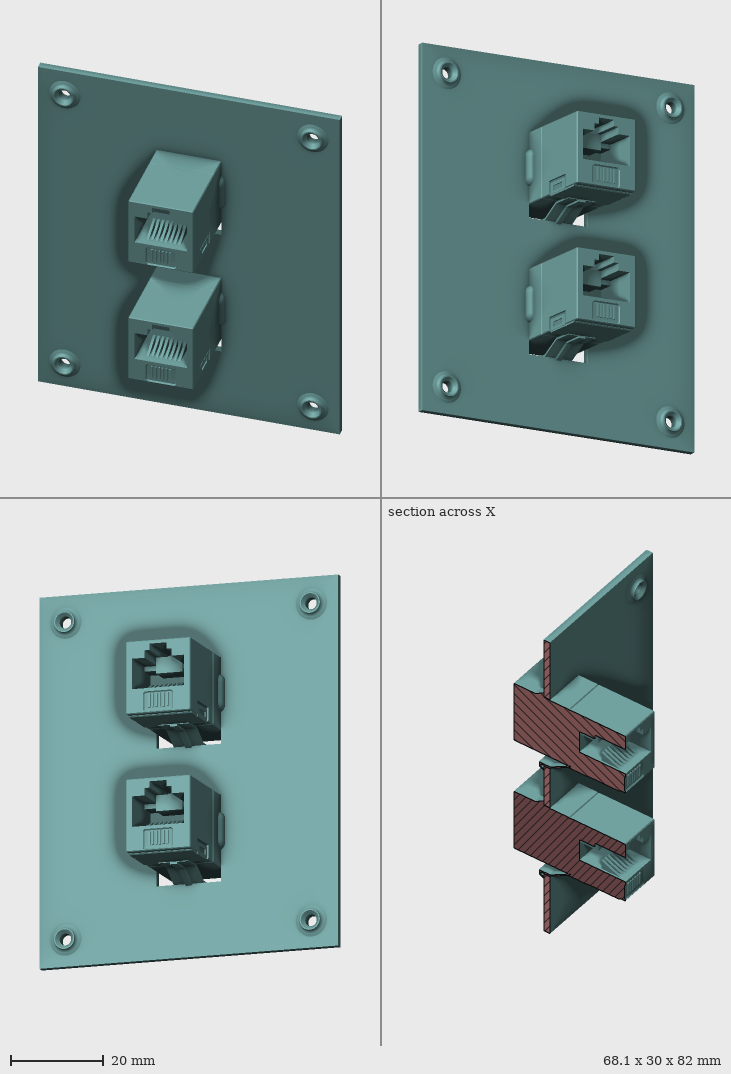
import cadquery as cq

plate_width = 68.1
plate_height = 82.0
plate_thickness = 1.7

window_width = 14.7
window_height = 19.2
window_pitch = 30.4
window_centers = (window_pitch / 2, -window_pitch / 2)

boss_spacing_x = 55.95
boss_spacing_z = 70.1
boss_base_radius = 3.5
boss_rim_radius = 3.0
boss_rim_height = 0.205
boss_neck_radius = 2.3
boss_neck_height = 0.9
boss_flare_sag = 0.1
boss_height = 1.15
countersink_radius = 2.05
countersink_depth = 0.8
screw_hole_radius = 1.3

jack_length = 30.0
jack_front = -20.3
half_length = jack_length / 2
body_width = window_width
body_height = 16.1
body_top = window_height / 2
body_bottom = body_top - body_height
body_bevel = 0.205
body_middle = body_top - body_height / 2

pad_length = 10.25
pad_front = -18.7
pad_height = 0.3
pad_bevel = 0.25
pad_width = body_width - 2 * body_bevel

stop_height = 8.6
stop_depth = 2.05
stop_projection = 1.0
stop_end_radius = 1.9
stop_edge_radius = 1.8

wedge_width = 7.8
wedge_length = 2.3
wedge_height = 1.3

arm_width = 6.8
arm_thickness = 0.5
arm_front = -9.9
arm_bend = -4.75
arm_tip = 2.95
arm_rest = -window_height / 2
hook_drop = 0.8
hook_end_drop = 1.4
rib_width = 1.6
rib_height = 0.4
rib_edge_bevel = 0.25

port_width = 11.8
port_top = 5.75
port_floor = -1.0
port_depth = 12.3
keyway_width = 6.1
keyway_top = 7.4
latch_slot_width = 3.85
latch_slot_top = 8.8
ledge_bottom = 4.7
ledge_setback = 8.2
stop_block_bottom = 3.85
stop_block_setback = 7.4

contact_count = 8
contact_pitch = 1.02
contact_width = 0.6
contact_setback = 1.9
contact_length = 4.9
contact_height = 2.3

recess_width = 6.9
recess_top = -1.7
recess_bottom = -6.2
recess_depth = 0.3
recess_corner = 0.4
recess_bevel = 0.25
bar_count = 6
bar_pitch = 0.8
bar_width = 0.4
bar_top = -2.2
bar_bottom = -5.25

tab_pocket_back = -8.3
tab_pocket_length = 7.05
tab_pocket_height = 3.1
tab_pocket_depth = 0.4
tab_setback = 0.5
tab_length = 6.1
tab_height = 2.55
tab_thickness = 0.25
slot_setback = 1.5
slot_length = 3.8
slot_bottom = 0.65
slot_height = 1.15


def block(x_size, y_start, y_end, z_start, z_end, x_center=0.0):
    """Box centred on x_center, between the given Y and Z limits."""
    size = (x_size, y_end - y_start, z_end - z_start)
    start = (x_center - x_size / 2, y_start, z_start)
    return cq.Workplane("XY").box(*size, centered=False).translate(start)


def side_profile(points, width, x_center=0.0):
    """Outline of (y, z) points extruded along X, centred on x_center."""
    plane = cq.Workplane("YZ", origin=(x_center, 0, 0))
    return plane.polyline(points).close().extrude(width / 2, both=True)


def evenly_spaced(count, pitch):
    """Positions of a row centred on zero."""
    return [(index - (count - 1) / 2) * pitch for index in range(count)]


def turned(outline):
    """Solid of revolution about the Y axis from a closed outline."""
    return outline.revolve(360, (0, 0, 0), (0, 1, 0))



def make_boss():
    """Collar with a sloped rim and a hollow flare up to its neck."""
    flare_middle = (
        (boss_rim_radius + boss_neck_radius) / 2 - boss_flare_sag,
        boss_flare_sag - (boss_rim_height + boss_neck_height) / 2,
    )
    outline = (
        cq.Workplane("XY")
        .lineTo(boss_base_radius, 0)
        .lineTo(boss_rim_radius, -boss_rim_height)
        .threePointArc(flare_middle, (boss_neck_radius, -boss_neck_height))
        .lineTo(boss_neck_radius, -boss_height)
        .lineTo(0, -boss_height)
        .close()
    )
    return turned(outline)


def make_boss_hole():
    outline = (
        cq.Workplane("XY")
        .moveTo(0, plate_thickness)
        .lineTo(screw_hole_radius, plate_thickness)
        .lineTo(screw_hole_radius, countersink_depth - boss_height)
        .lineTo(countersink_radius, -boss_height)
        .lineTo(0, -boss_height)
        .close()
    )
    return turned(outline)


def make_faceplate():
    plate = block(plate_width, 0, plate_thickness, -plate_height / 2, plate_height / 2)
    for center in window_centers:
        bottom = center - window_height / 2
        plate = plate.cut(block(window_width, 0, plate_thickness, bottom, bottom + window_height))
    for x in evenly_spaced(2, boss_spacing_x):
        for z in evenly_spaced(2, boss_spacing_z):
            plate = plate.union(make_boss().translate((x, 0, z)))
            plate = plate.cut(make_boss_hole().translate((x, 0, z)))
    return plate



def make_body():
    body = None
    for start in (jack_front, jack_front + half_length):
        half = block(body_width, start, start + half_length, body_bottom, body_top)
        half = half.edges().chamfer(body_bevel)
        body = half if body is None else body.union(half)
    pad_bottom = body_bottom - pad_height
    pad = block(pad_width, pad_front, pad_front + pad_length, pad_bottom, body_bottom)
    pad = pad.edges("|X and <Y and <Z").chamfer(pad_bevel)
    return body.union(pad)


def make_side_stops():
    """One bar through the body whose rounded ends stand out on both sides."""
    bar = block(
        body_width + 2 * stop_projection,
        -stop_depth,
        0,
        body_middle - stop_height / 2,
        body_middle + stop_height / 2,
    )
    bar = bar.edges("|X and <Y").fillet(stop_end_radius)
    outer_edges = bar.faces("<X or >X").edges("not >Y")
    return outer_edges.fillet(stop_edge_radius)


def make_wedge():
    return side_profile(
        [
            (plate_thickness, body_top),
            (plate_thickness + wedge_length, body_top),
            (plate_thickness, body_top + wedge_height),
        ],
        wedge_width,
    )


def make_spring_arm():
    """Strip that slopes down through the window and curls behind the plate."""
    rest_top = arm_rest + arm_thickness
    inner_tip = arm_tip - arm_thickness
    hook_bottom = arm_rest - hook_drop
    hook_end = arm_rest - hook_end_drop
    arm = side_profile(
        [
            (arm_front, body_bottom),
            (arm_bend, body_bottom),
            (0, rest_top),
            (arm_tip, rest_top),
            (arm_tip, hook_bottom),
            (plate_thickness, hook_end),
            (plate_thickness, hook_end + arm_thickness),
            (inner_tip, hook_bottom + arm_thickness / 2),
            (inner_tip, arm_rest),
            (0, arm_rest),
            (arm_bend, body_bottom - arm_thickness),
            (arm_front, body_bottom - arm_thickness),
        ],
        arm_width,
    )
    strip_bottom = body_bottom - arm_thickness
    slope_middle = (0, arm_bend / 2, (arm_rest + strip_bottom) / 2 - rib_height)
    rib = side_profile(
        [
            (arm_front, strip_bottom),
            (arm_bend, strip_bottom),
            (0, arm_rest),
            (0, arm_rest - rib_height),
            (arm_bend, strip_bottom - rib_height),
            (arm_front, strip_bottom - rib_height),
        ],
        rib_width,
    )
    rib_slope = rib.faces(cq.NearestToPointSelector(slope_middle))
    rib = rib_slope.edges("not |X").chamfer(rib_edge_bevel)
    return arm.union(rib)


def make_port():
    """Stepped plug opening, less the ledges and stop block deep inside it."""
    port_back = jack_front + port_depth
    port = block(port_width, jack_front, port_back, port_floor, port_top)
    port = port.union(block(keyway_width, jack_front, port_back, port_floor, keyway_top))
    port = port.union(block(latch_slot_width, jack_front, port_back, port_floor, latch_slot_top))
    ledge_front = jack_front + ledge_setback
    port = port.cut(block(port_width, ledge_front, port_back, ledge_bottom, port_top))
    block_front = jack_front + stop_block_setback
    return port.cut(block(keyway_width, block_front, port_back, stop_block_bottom, keyway_top))


def make_contact(x):
    """Thin fin that rises from the port floor toward the back."""
    front = jack_front + contact_setback
    back = front + contact_length
    outline = [(front, port_floor), (back, port_floor), (back, port_floor + contact_height)]
    return side_profile(outline, contact_width, x)


def make_ribbed_recess():
    recess_back = jack_front + recess_depth
    recess = block(recess_width, jack_front, recess_back, recess_bottom, recess_top)
    recess = recess.edges("|Y").chamfer(recess_corner)
    recess = recess.faces(">Y").edges().chamfer(recess_bevel)
    for x in evenly_spaced(bar_count, bar_pitch):
        recess = recess.cut(block(bar_width, jack_front, recess_back, bar_bottom, bar_top, x))
    return recess


def make_tab_pocket(side):
    """Pocket open at the bottom, around a slotted tab; side is -1 or +1."""
    outer_face = side * body_width / 2
    floor_center = outer_face - side * tab_pocket_depth / 2
    pocket_bottom = body_bottom - pad_height
    pocket = block(
        tab_pocket_depth,
        tab_pocket_back - tab_pocket_length,
        tab_pocket_back,
        pocket_bottom,
        body_bottom + tab_pocket_height,
        floor_center,
    )
    tab_back = tab_pocket_back - tab_setback
    tab = block(
        tab_thickness,
        tab_back - tab_length,
        tab_back,
        pocket_bottom,
        body_bottom + tab_height,
        outer_face - side * (tab_pocket_depth - tab_thickness / 2),
    )
    slot_back = tab_pocket_back - slot_setback
    slot = block(
        tab_pocket_depth,
        slot_back - slot_length,
        slot_back,
        body_bottom + slot_bottom,
        body_bottom + slot_bottom + slot_height,
        floor_center,
    )
    return pocket.cut(tab).union(slot)


def make_jack():
    jack = make_body()
    jack = jack.union(make_side_stops())
    jack = jack.union(make_wedge())
    jack = jack.union(make_spring_arm())
    jack = jack.cut(make_port())
    for x in evenly_spaced(contact_count, contact_pitch):
        jack = jack.union(make_contact(x))
    jack = jack.cut(make_ribbed_recess())
    for side in (-1, 1):
        jack = jack.cut(make_tab_pocket(side))
    return jack


faceplate = make_faceplate()
jacks = [make_jack().translate((0, 0, center)) for center in window_centers]

result = cq.Compound.makeCompound([faceplate.val(), *[jack.val() for jack in jacks]])